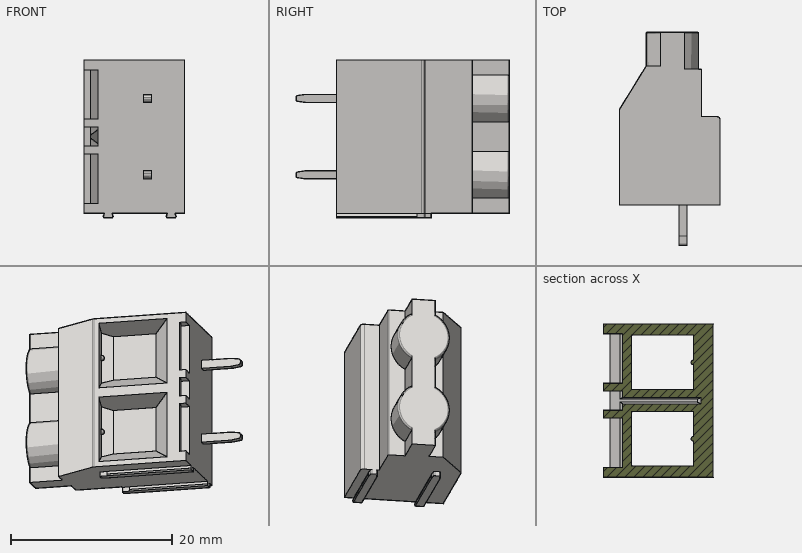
import cadquery as cq
import math


body_width = 12.5
body_height = 19.05
total_length = 26.5
pin_length = 5.0
body_top = total_length - pin_length
mid_height = body_height / 2

chamfer_start = 11.9
chamfer_width = 3.3
left_shoulder = 17.28
right_shoulder = 16.9
neck_width = 2.97
step_x = 10.2
step_y = 11.02
corner_radius = 0.42
small_radius = 0.13

pole_pitch = 9.5
pole_heights = [mid_height - pole_pitch / 2, mid_height + pole_pitch / 2]

tower_radius = 3.25
tower_center_x = chamfer_width + tower_radius
tower_edge_radius = 0.19
neck_left = tower_center_x - neck_width / 2
neck_right = tower_center_x + neck_width / 2

funnel_low_y = 2.4
funnel_high_y = 11.18
funnel_mouth_height = 8.3
funnel_depth = 1.83
funnel_straight_depth = 1.27
funnel_floor_low_y = 4.32
funnel_floor_high_y = 9.8
funnel_floor_height = 5.6
screw_tip_radius = 0.35
screw_tip_rounding = 0.25
screw_tip_reach = 0.32

wall = 0.82
slot_depth = 1.75
long_slot_height = 6.12
short_slot_height = 2.33
long_slot_offset = 5.22

pin_size = 1.03
pin_center_x = 7.9
pin_tip_size = 0.7
pin_taper_length = 1.2
pin_tip_radius = 0.25
pin_taper_radius = 1.05
pin_root_depth = 0.26

rail_height = 0.55
rail_root_width = 1.0
rail_head_width = 1.27
rail_foot_width = 1.05
rail_head_drop = 0.37
rail_lead_length = 1.0
rail_lead_width = 0.85
rails = [(3.02, 11.8), (10.85, step_y)]


def make_body():
    outline = [
        (0, 0),
        (body_width, 0),
        (body_width, step_y),
        (step_x, step_y),
        (step_x, right_shoulder),
        (neck_right, right_shoulder),
        (neck_right, body_top),
        (neck_left, body_top),
        (neck_left, left_shoulder),
        (chamfer_width, left_shoulder),
        (0, chamfer_start),
    ]
    body = cq.Workplane("XY").polyline(outline).close().extrude(body_height)
    rounded_corners = [
        (0, chamfer_start, corner_radius),
        (body_width, step_y, corner_radius),
        (step_x, right_shoulder, small_radius),
        (neck_left, body_top, small_radius),
    ]
    for x, y, radius in rounded_corners:
        corner = cq.selectors.NearestToPointSelector((x, y, mid_height))
        body = body.edges(corner).fillet(radius)
    return body


def make_tower(z):
    length = body_top - step_y
    tower = cq.Workplane("XZ", origin=(tower_center_x, body_top, z)).circle(tower_radius).extrude(length)
    return tower.faces(">Y").edges().fillet(tower_edge_radius)


def make_funnel(z):
    plan = [
        (0, funnel_low_y),
        (funnel_depth, funnel_floor_low_y),
        (funnel_depth, funnel_floor_high_y),
        (funnel_straight_depth, funnel_high_y),
        (0, funnel_high_y),
    ]
    side = [
        (0, -funnel_mouth_height / 2),
        (funnel_depth, -funnel_floor_height / 2),
        (funnel_depth, funnel_floor_height / 2),
        (0, funnel_mouth_height / 2),
    ]
    plan_block = (
        cq.Workplane("XY", origin=(0, 0, z))
        .polyline(plan)
        .close()
        .extrude(funnel_mouth_height / 2, both=True)
    )
    side_block = cq.Workplane("XZ", origin=(0, 0, z)).polyline(side).close().extrude(-body_top)
    return plan_block.intersect(side_block)


def make_screw_tip(z):
    start = funnel_straight_depth - screw_tip_reach
    length = funnel_depth - start
    tip = cq.Workplane("YZ", origin=(start, funnel_high_y, z)).circle(screw_tip_radius).extrude(length)
    return tip.faces("<X").edges().fillet(screw_tip_rounding)


end_slope = (funnel_floor_low_y - funnel_low_y) / funnel_depth
end_shift = wall * math.hypot(1, end_slope)


def slot_end_y(x):
    return funnel_low_y + end_slope * x - end_shift


def make_slot(z, height):
    plan = [
        (0, 0),
        (slot_depth, 0),
        (slot_depth, slot_end_y(slot_depth)),
        (wall, slot_end_y(wall)),
        (wall, wall),
        (0, wall),
    ]
    return cq.Workplane("XY", origin=(0, 0, z)).polyline(plan).close().extrude(height / 2, both=True)


def make_core_tunnel():
    side_slope = (funnel_mouth_height - funnel_floor_height) / 2 / funnel_depth
    side_shift = wall * math.hypot(1, side_slope)
    mouth_half_gap = (pole_pitch - funnel_mouth_height) / 2

    def half_height(x):
        return mouth_half_gap + side_slope * x - side_shift

    section = [
        (wall, -half_height(wall)),
        (slot_depth, -half_height(slot_depth)),
        (slot_depth, half_height(slot_depth)),
        (wall, half_height(wall)),
    ]
    tunnel = cq.Workplane("XZ", origin=(0, 0, mid_height)).polyline(section).close().extrude(-body_top)

    chamfer_slope = (left_shoulder - chamfer_start) / chamfer_width
    chamfer_shift = wall * math.hypot(1, chamfer_slope)

    def tunnel_end_y(x):
        return chamfer_start + chamfer_slope * x - chamfer_shift

    plan = [
        (wall, 0),
        (slot_depth, 0),
        (slot_depth, tunnel_end_y(slot_depth)),
        (wall, tunnel_end_y(wall)),
    ]
    limit = cq.Workplane("XY").polyline(plan).close().extrude(body_height)
    return tunnel.intersect(limit)


def make_pin(z):
    taper_y = pin_taper_length - pin_length
    side = [
        (pin_root_depth, -pin_size / 2),
        (taper_y, -pin_size / 2),
        (-pin_length, -pin_tip_size / 2),
        (-pin_length, pin_tip_size / 2),
        (taper_y, pin_size / 2),
        (pin_root_depth, pin_size / 2),
    ]
    pin = (
        cq.Workplane("YZ", origin=(pin_center_x, 0, z))
        .polyline(side)
        .close()
        .extrude(pin_size / 2, both=True)
    )
    pin = pin.faces("<Y").edges("|X").fillet(pin_tip_radius)
    for taper_z in (z - pin_size / 2, z + pin_size / 2):
        taper_edge = cq.selectors.NearestToPointSelector((pin_center_x, taper_y, taper_z))
        pin = pin.edges(taper_edge).fillet(pin_taper_radius)
    return pin


def make_rail(x, end_y):
    dovetail_length = end_y - rail_lead_length
    section = [
        (-rail_root_width / 2, 0),
        (-rail_head_width / 2, -rail_head_drop),
        (-rail_foot_width / 2, -rail_height),
        (rail_foot_width / 2, -rail_height),
        (rail_head_width / 2, -rail_head_drop),
        (rail_root_width / 2, 0),
    ]
    lead_plan = [
        (-rail_root_width / 2, dovetail_length),
        (rail_root_width / 2, dovetail_length),
        (rail_lead_width / 2, end_y),
        (-rail_lead_width / 2, end_y),
    ]
    dovetail = cq.Workplane("XZ", origin=(x, 0, 0)).polyline(section).close().extrude(-dovetail_length)
    lead = cq.Workplane("XY", origin=(x, 0, 0)).polyline(lead_plan).close().extrude(-rail_height)
    lead = lead.faces(">Y").edges("|Z").fillet(small_radius)
    return dovetail.union(lead)


result = make_body()
for pole_z in pole_heights:
    result = result.union(make_tower(pole_z))
    result = result.cut(make_funnel(pole_z))
    result = result.union(make_screw_tip(pole_z))
    result = result.union(make_pin(pole_z))

for slot_z in (mid_height - long_slot_offset, mid_height + long_slot_offset):
    result = result.cut(make_slot(slot_z, long_slot_height))
result = result.cut(make_slot(mid_height, short_slot_height))
result = result.cut(make_core_tunnel())

for rail_x, rail_end in rails:
    result = result.union(make_rail(rail_x, rail_end))